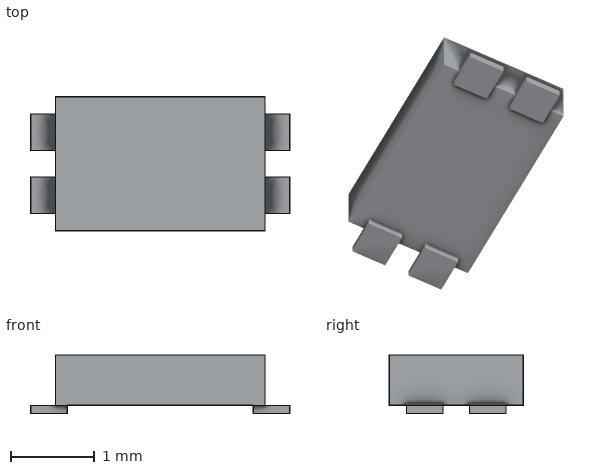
import cadquery as cq

overall_length = 3.09
overall_width = 1.6
overall_height = 0.7

lead_length = 0.44
lead_width = 0.44
lead_thickness = 0.1
lead_pitch = 0.75

housing_length = 2.5
housing_height = overall_height - lead_thickness


def make_housing():
    """Plain block whose underside lies on the lead tops."""
    return (
        cq.Workplane("XY")
        .workplane(offset=lead_thickness)
        .box(housing_length, overall_width, housing_height, centered=(True, True, False))
    )


def make_lead(x_center, y_center):
    """Flat lead standing on the ground plane, partly under the housing."""
    return (
        cq.Workplane("XY")
        .center(x_center, y_center)
        .box(lead_length, lead_width, lead_thickness, centered=(True, True, False))
    )


housing = make_housing()

lead_x = (overall_length - lead_length) / 2
lead_y = lead_pitch / 2
leads = []
for x_side in (-1, 1):
    for y_side in (-1, 1):
        leads.append(make_lead(x_side * lead_x, y_side * lead_y))

result = cq.Compound.makeCompound([housing.val(), *[lead.val() for lead in leads]])